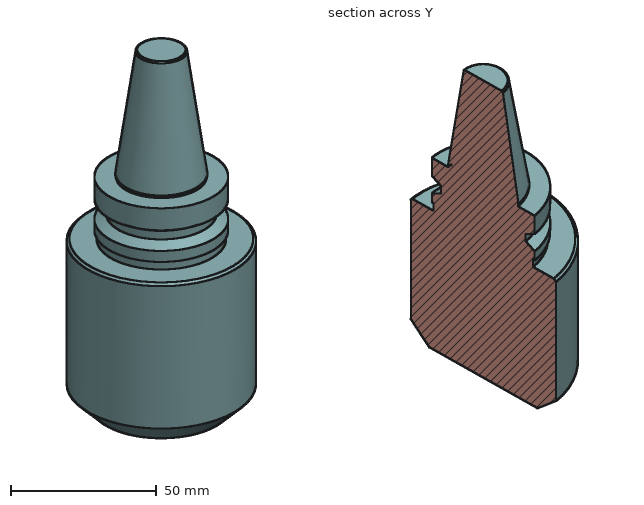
import cadquery as cq

total_height = 138.4
body_top = 64.8
collar_top = 68.1
lower_flange_top = 72.4
groove_bottom = 74.7
groove_top = 78.0
upper_flange_bottom = 80.4
flange_top = 89.0
taper_bottom = 90.0

body_diameter = 65.0
nose_diameter = 48.5
collar_diameter = 44.5
flange_diameter = 46.0
groove_diameter = 38.0
neck_diameter = 31.1
taper_large_diameter = 31.7

taper_ratio = 7 / 24
nose_chamfer = (body_diameter - nose_diameter) / 2
body_chamfer = 1.0
tip_chamfer = 0.5

taper_end = total_height - tip_chamfer
taper_small_diameter = taper_large_diameter - taper_ratio * (taper_end - taper_bottom)
tip_diameter = taper_small_diameter - 2 * tip_chamfer

profile = [
    (0, 0),
    (nose_diameter, 0),
    (body_diameter, nose_chamfer),
    (body_diameter, body_top - body_chamfer),
    (body_diameter - 2 * body_chamfer, body_top),
    (collar_diameter, body_top),
    (collar_diameter, collar_top),
    (flange_diameter, collar_top),
    (flange_diameter, lower_flange_top),
    (groove_diameter, groove_bottom),
    (groove_diameter, groove_top),
    (flange_diameter, upper_flange_bottom),
    (flange_diameter, flange_top),
    (neck_diameter, flange_top),
    (neck_diameter, taper_bottom),
    (taper_large_diameter, taper_bottom),
    (taper_small_diameter, taper_end),
    (tip_diameter, total_height),
    (0, total_height),
]

result = (
    cq.Workplane("XZ")
    .polyline([(diameter / 2, height) for diameter, height in profile])
    .close()
    .revolve(360, (0, 0, 0), (0, 1, 0))
)